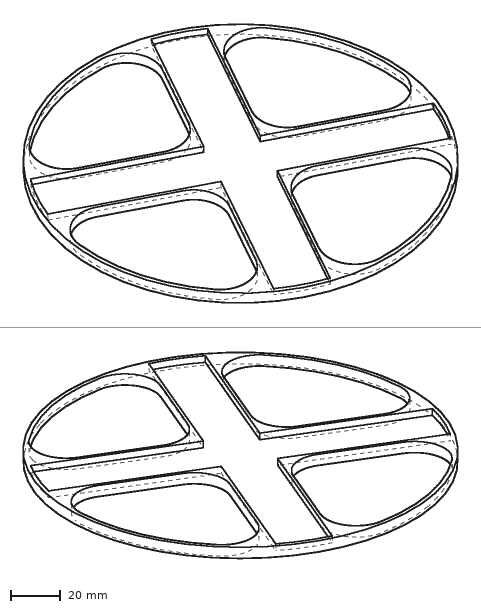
import cadquery as cq

disc_radius = 87.0
thickness = 5.0

rim_width = 2.0
channel_width = 23.7
recess_depth = 3.0
recess_radius = disc_radius - rim_width

wall = 1.4
window_corner_radius = 15.0
window_radius = disc_radius - rim_width
window_offset = channel_width / 2 + wall


def make_window():
    """Quarter-disc cutter with rounded corners, in the +X +Y quadrant."""
    quadrant = (
        cq.Workplane("XY")
        .rect(disc_radius, disc_radius, centered=False)
        .extrude(thickness)
        .translate((window_offset, window_offset, 0))
    )
    sector = cq.Workplane("XY").circle(window_radius).extrude(thickness).intersect(quadrant)
    return sector.edges("|Z").fillet(window_corner_radius)


def make_cross_recess():
    """Two crossing channels whose ends follow the rim."""
    length = 2 * disc_radius
    plane = cq.Workplane("XY").workplane(offset=thickness - recess_depth)
    along_x = plane.rect(length, channel_width).extrude(recess_depth)
    along_y = plane.rect(channel_width, length).extrude(recess_depth)
    bound = plane.circle(recess_radius).extrude(recess_depth)
    return along_x.union(along_y).intersect(bound)


result = cq.Workplane("XY").circle(disc_radius).extrude(thickness)
result = result.cut(make_cross_recess())

window = make_window()
window_count = 4
for index in range(window_count):
    turn = index * 360 / window_count
    result = result.cut(window.rotate((0, 0, 0), (0, 0, 1), turn))